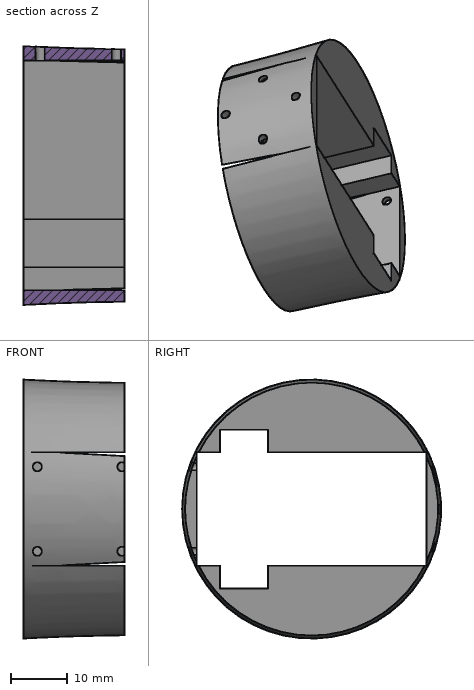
import cadquery as cq

length = 18.0
near_end_radius = 23.0
mid_radius = 22.6
far_end_radius = 22.42

pocket_width = 40.7
pocket_height = 20.1

notch_width = 8.5
notch_height = 28.1
notch_center_y = -12.0

hole_diameter = 1.6
minus_y_spacing = 15.0
minus_y_first_x = 2.5
plus_y_center_x = 9.75
plus_y_radius = 6.75


def make_drum():
    """Solid of revolution about X with a gently curved flank."""
    profile = (
        cq.Workplane("XY")
        .lineTo(0, -near_end_radius)
        .threePointArc((length / 2, -mid_radius), (length, -far_end_radius))
        .lineTo(length, 0)
        .close()
    )
    return profile.revolve(360, (0, 0, 0), (1, 0, 0))


def make_pocket():
    """Through opening along X: a wide rectangle plus the taller notch."""
    wide = cq.Workplane("YZ").rect(pocket_width, pocket_height).extrude(length)
    tall = (
        cq.Workplane("YZ")
        .center(notch_center_y, 0)
        .rect(notch_width, notch_height)
        .extrude(length)
    )
    return wide.union(tall)


def make_wall_holes(points, side):
    """Holes at (x, z) points, running from the axis out through the wall on side +1 or -1 of Y."""
    return (
        cq.Workplane("XZ")
        .pushPoints(points)
        .circle(hole_diameter / 2)
        .extrude(-side * near_end_radius)
    )


minus_y_center_x = minus_y_first_x + minus_y_spacing / 2
minus_y_points = [
    (minus_y_center_x + x_sign * minus_y_spacing / 2, z_sign * minus_y_spacing / 2)
    for x_sign in (-1, 1)
    for z_sign in (-1, 1)
]

plus_y_points = [
    point
    for sign in (-1, 1)
    for point in (
        (plus_y_center_x + sign * plus_y_radius, 0),
        (plus_y_center_x, sign * plus_y_radius),
    )
]

result = (
    make_drum()
    .cut(make_pocket())
    .cut(make_wall_holes(minus_y_points, -1))
    .cut(make_wall_holes(plus_y_points, 1))
)